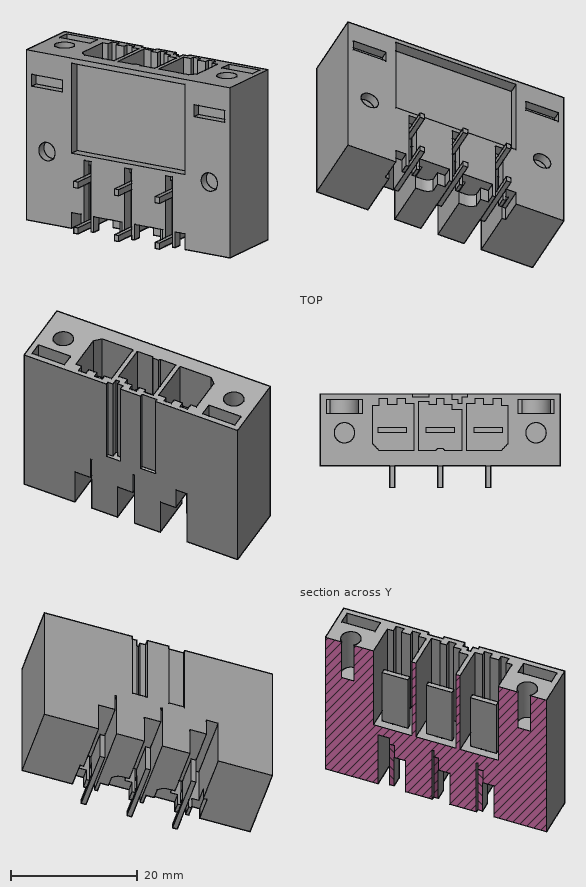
import cadquery as cq
import math


WIDTH = 38.1
DEPTH = 11.43
HEIGHT = 28.3
PITCH = 7.62
POLES = (-PITCH, 0.0, PITCH)
FLANGE_X = 15.2

RECESS_WIDTH = 21.22
RECESS_BOTTOM = 12.5
RECESS_TOP = 27.47
RECESS_DEPTH = 1.7

WELL_FLOOR = RECESS_BOTTOM
WELL_FRONT = 2.48
WELL_HALF = 3.43
WELL_OUTER_HALF = 3.12
WELL_CHAMFER = 1.03
KEY_BACK = 10.65
RIB_BACK = 9.75
KEY_INNER = 0.75
KEY_OUTER = 2.1
END_OUTER_BACK = 9.55
END_INNER_BACK = 9.9
MID_LEFT_BACK = 10.25
MID_LEFT_STEP = 1.8
MID_KEY_HALF = 0.6
MID_RIGHT_BACK = 8.95
MID_RIGHT_STEP = 1.85
BUMP_BASE_HALF = 0.7
BUMP_TOP_HALF = 0.45
BUMP_HEIGHT = 0.25

NOTCH_DEPTH = 0.5
NOTCH_LEFT = -4.4
NOTCH_RIGHT = -1.75
NOTCH_BOTTOM = WELL_FLOOR
HOOK_LEFT = 1.85
HOOK_STEP = 2.82
HOOK_INNER = 3.43
HOOK_RIGHT = 4.35
HOOK_LEFT_DEPTH = 0.88
HOOK_TIP_DEPTH = 1.52

FLANGE_SLOT_WIDTH = 5.75
TOP_SLOT_FRONT = 8.3
TOP_SLOT_BACK = 10.5
FRONT_SLOT_BOTTOM = 22.4
FRONT_SLOT_HEIGHT = 2.0
FRONT_SLOT_DEPTH = 1.37
FRONT_HOLE_DIAMETER = 3.05
FRONT_HOLE_Z = 12.0
FRONT_HOLE_DEPTH = 1.52
HUMP_RADIUS = 2.45
TOP_SLOT_FLOOR = FRONT_HOLE_Z + 0.9
SCREW_HOLE_DIAMETER = 3.25
SCREW_HOLE_Y = 5.25
SCREW_HOLE_DEPTH = 7.62

SKIN = 1.52
PIN_SLOT_WIDTH = 1.3
PIN_SLOT_TOP = 11.7
PIN_SLOT_WALL = 0.55
CUTOUT_HEIGHT = 2.63
CHANNEL_REACH = 2.35
CHANNEL_LEFT_TOP = 10.5
CHANNEL_RIGHT_TOP = 6.63
CUTOUT_DEPTH = 3.8
STEP_OFFSET = 2.5
COVE_WIDTH = 1.6
COVE_RADIUS = 2.15

SHEET = 0.8
BLADE_WIDTH = 4.45
BLADE_FRONT = 5.3
BLADE_BACK = BLADE_FRONT + SHEET
BLADE_TOP = 22.85
PIN_LENGTH = 3.45
PIN_HEIGHT = 1.03
LOWER_PIN_BOTTOM = 0.55
PIN_SPACING = PITCH
PLATE_TOP = LOWER_PIN_BOTTOM + PIN_SPACING + PIN_HEIGHT


def block(x0, x1, y0, y1, z0, z1):
    """Box between two opposite corners."""
    return cq.Workplane("XY").box(x1 - x0, y1 - y0, z1 - z0, centered=False).translate((x0, y0, z0))


def prism(points, z0, z1):
    """Vertical prism over an XY outline."""
    return cq.Workplane("XY", origin=(0, 0, z0)).polyline(points).close().extrude(z1 - z0)


def front_cylinder(x, z, radius, y0, y1):
    """Cylinder along +Y."""
    return cq.Workplane("XZ", origin=(x, y0, z)).circle(radius).extrude(y0 - y1)


def upright_cylinder(x, y, radius, z0, z1):
    """Cylinder along +Z."""
    return cq.Workplane("XY", origin=(x, y, z0)).circle(radius).extrude(z1 - z0)


def end_well(side):
    """Well of an end pole; side is -1 for the left pole and +1 for its mirror image."""
    outline = [
        (WELL_OUTER_HALF, WELL_FRONT + WELL_CHAMFER),
        (WELL_OUTER_HALF, END_OUTER_BACK),
        (KEY_OUTER, END_OUTER_BACK),
        (KEY_OUTER, KEY_BACK),
        (KEY_INNER, KEY_BACK),
        (KEY_INNER, RIB_BACK),
        (-KEY_INNER, RIB_BACK),
        (-KEY_INNER, KEY_BACK),
        (-KEY_OUTER, KEY_BACK),
        (-KEY_OUTER, END_INNER_BACK),
        (-WELL_HALF, END_INNER_BACK),
        (-WELL_HALF, WELL_FRONT),
        (WELL_OUTER_HALF - WELL_CHAMFER, WELL_FRONT),
    ]
    return prism([(side * (PITCH + x), y) for x, y in outline], WELL_FLOOR, HEIGHT)


def middle_well():
    """Well of the middle pole, with its stepped back and a locating bump in front."""
    outline = [
        (-WELL_HALF, WELL_FRONT),
        (-WELL_HALF, MID_LEFT_BACK),
        (-MID_LEFT_STEP, MID_LEFT_BACK),
        (-MID_LEFT_STEP, RIB_BACK),
        (-MID_KEY_HALF, RIB_BACK),
        (-MID_KEY_HALF, KEY_BACK),
        (MID_KEY_HALF, KEY_BACK),
        (MID_KEY_HALF, RIB_BACK),
        (MID_RIGHT_STEP, RIB_BACK),
        (MID_RIGHT_STEP, MID_RIGHT_BACK),
        (WELL_HALF, MID_RIGHT_BACK),
        (WELL_HALF, WELL_FRONT),
        (BUMP_BASE_HALF, WELL_FRONT),
        (BUMP_TOP_HALF, WELL_FRONT + BUMP_HEIGHT),
        (-BUMP_TOP_HALF, WELL_FRONT + BUMP_HEIGHT),
        (-BUMP_BASE_HALF, WELL_FRONT),
    ]
    return prism(outline, WELL_FLOOR, HEIGHT)


def coding_notches():
    """Plain notch and hooked notch in the upper back edge."""
    plain = block(NOTCH_LEFT, NOTCH_RIGHT, DEPTH - NOTCH_DEPTH, DEPTH, NOTCH_BOTTOM, HEIGHT)
    hook = [
        (HOOK_LEFT, DEPTH),
        (HOOK_LEFT, DEPTH - HOOK_LEFT_DEPTH),
        (HOOK_STEP, DEPTH - HOOK_LEFT_DEPTH),
        (HOOK_STEP, DEPTH - HOOK_TIP_DEPTH),
        (HOOK_INNER, DEPTH - HOOK_TIP_DEPTH),
        (HOOK_INNER, DEPTH - NOTCH_DEPTH),
        (HOOK_RIGHT, DEPTH - NOTCH_DEPTH),
        (HOOK_RIGHT, DEPTH),
    ]
    return plain.union(prism(hook, NOTCH_BOTTOM, HEIGHT))


def flange_cuts(x):
    """Slots and holes of one mounting flange centred on x."""
    left = x - FLANGE_SLOT_WIDTH / 2
    right = x + FLANGE_SLOT_WIDTH / 2
    top_slot = block(left, right, TOP_SLOT_FRONT, TOP_SLOT_BACK, TOP_SLOT_FLOOR, HEIGHT)
    hump = front_cylinder(x, FRONT_HOLE_Z, HUMP_RADIUS, TOP_SLOT_FRONT, TOP_SLOT_BACK)
    front_slot_top = FRONT_SLOT_BOTTOM + FRONT_SLOT_HEIGHT
    front_slot = block(left, right, 0, FRONT_SLOT_DEPTH, FRONT_SLOT_BOTTOM, front_slot_top)
    front_hole = front_cylinder(x, FRONT_HOLE_Z, FRONT_HOLE_DIAMETER / 2, 0, FRONT_HOLE_DEPTH)
    screw_hole = upright_cylinder(x, SCREW_HOLE_Y, SCREW_HOLE_DIAMETER / 2, HEIGHT - SCREW_HOLE_DEPTH, HEIGHT)
    return top_slot.cut(hump).union(front_slot).union(front_hole).union(screw_hole)


def cutout_between(previous_pole, pole, wall_reach):
    """Bottom cutout between two pin slots; its back wall curves forward to a step, then runs flat."""
    left = previous_pole + wall_reach
    right = pole - wall_reach
    step = pole - STEP_OFFSET
    cove_start = step - COVE_WIDTH
    cove_centre_y = CUTOUT_DEPTH - COVE_RADIUS
    sweep = math.asin(COVE_WIDTH / COVE_RADIUS)

    def cove_point(angle):
        return (cove_start + COVE_RADIUS * math.sin(angle), cove_centre_y + COVE_RADIUS * math.cos(angle))

    return (
        cq.Workplane("XY")
        .moveTo(left, 0)
        .lineTo(left, CUTOUT_DEPTH)
        .lineTo(cove_start, CUTOUT_DEPTH)
        .threePointArc(cove_point(sweep / 2), cove_point(sweep))
        .lineTo(step, SKIN)
        .lineTo(right, SKIN)
        .lineTo(right, 0)
        .close()
        .extrude(CUTOUT_HEIGHT)
    )


def bottom_cutouts():
    """Cutouts along the lower front edge, beside and between the walls of the pin slots."""
    wall_reach = PIN_SLOT_WIDTH / 2 + PIN_SLOT_WALL
    outer = RECESS_WIDTH / 2
    inner = PITCH + wall_reach
    cutouts = block(-outer, -inner, 0, CUTOUT_DEPTH, 0, CUTOUT_HEIGHT)
    cutouts = cutouts.add(block(inner, outer, 0, CUTOUT_DEPTH, 0, CUTOUT_HEIGHT))
    for previous_pole, pole in zip(POLES, POLES[1:]):
        cutouts = cutouts.add(cutout_between(previous_pole, pole, wall_reach))
    return cutouts.combine()


def pole_cuts(x):
    """Pin slot of one pole and the stepped channel from it to the back face."""
    slot_half = PIN_SLOT_WIDTH / 2
    pin_slot = block(x - slot_half, x + slot_half, 0, SKIN, 0, PIN_SLOT_TOP)
    left_reach = CHANNEL_REACH if x == POLES[0] else slot_half
    left = block(x - left_reach, x - SHEET / 2, SKIN, DEPTH, 0, CHANNEL_LEFT_TOP)
    right = block(x - SHEET / 2, x + CHANNEL_REACH, SKIN, DEPTH, 0, CHANNEL_RIGHT_TOP)
    return pin_slot.union(left).union(right)


def make_contact(x):
    """Contact of one pole: upright plate with two pins, carrying a flat blade on a neck."""
    half = SHEET / 2
    contact = block(x - half, x + half, SKIN, BLADE_BACK, LOWER_PIN_BOTTOM, PLATE_TOP)
    for row in range(2):
        z = LOWER_PIN_BOTTOM + row * PIN_SPACING
        contact = contact.union(block(x - half, x + half, -PIN_LENGTH, SKIN, z, z + PIN_HEIGHT))
    neck = block(x - half, x + half, BLADE_FRONT, BLADE_BACK, PLATE_TOP, WELL_FLOOR)
    blade_half = BLADE_WIDTH / 2
    blade = block(x - blade_half, x + blade_half, BLADE_FRONT, BLADE_BACK, WELL_FLOOR, BLADE_TOP)
    return contact.union(neck).union(blade)


def make_housing(contacts):
    """Housing block with all its openings, including the seats of the contacts."""
    housing = block(-WIDTH / 2, WIDTH / 2, 0, DEPTH, 0, HEIGHT)
    recess_half = RECESS_WIDTH / 2
    housing = housing.cut(block(-recess_half, recess_half, 0, RECESS_DEPTH, RECESS_BOTTOM, RECESS_TOP))
    housing = housing.cut(end_well(-1)).cut(middle_well()).cut(end_well(1))
    housing = housing.cut(coding_notches())
    for x in (-FLANGE_X, FLANGE_X):
        housing = housing.cut(flange_cuts(x))
    housing = housing.cut(bottom_cutouts())
    for x in POLES:
        housing = housing.cut(pole_cuts(x))
    for contact in contacts:
        housing = housing.cut(contact)
    return housing


contacts = [make_contact(x) for x in POLES]
housing = make_housing(contacts)

result = cq.Compound.makeCompound([housing.val(), *[contact.val() for contact in contacts]])